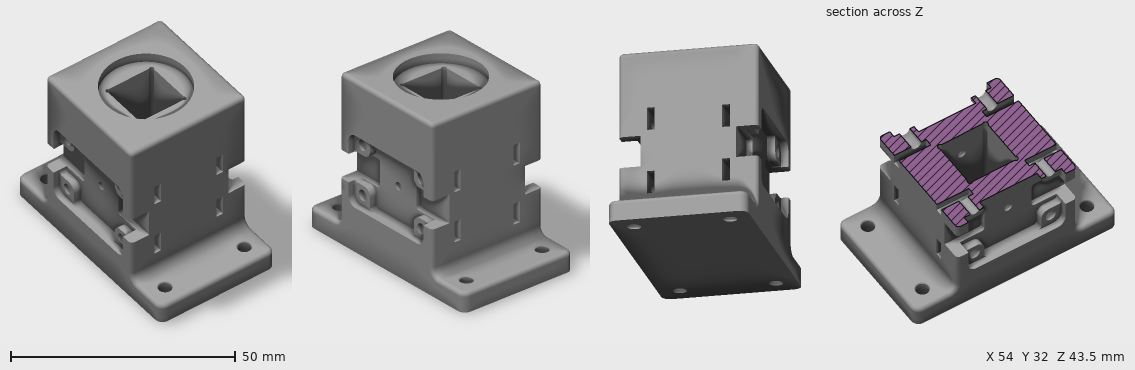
import cadquery as cq
base_length = 54.0
width = 32.0
height = 43.5
base_height = 4.95
tower_length = width
base_corner_radius = 2.0
root_radius = base_corner_radius
edge_radius = base_corner_radius / 2

mount_pitch_x = 44.0
mount_pitch_y = 22.05
mount_diameter = 3.2
mount_countersink_diameter = 3.55
mount_countersink_depth = 0.2

recess_diameter = 21.5
recess_depth = 2.5
well_side = 12.75
well_floor = base_height
relief_diameter = 1.2
relief_inset = 0.3

front_center_z = 20.0
back_center_z = 20.4
pocket_depth = 3.6
pocket_corner_radius = 2.15
boss_depth = 1.75
boss_corner_radius = base_corner_radius
boss_root_radius = 0.75
screw_diameter = 2.7
screw_pitch_x = 20.3
front_screw_pitch_z = 15.0
back_screw_pitch_z = 12.75
screw_edge_margin = 2.8
screw_inner_margin = 2.55

notch_height = 7.25
notch_depth = 5.0
notch_gap = 12.65
notch_corner_radius = 0.75

slot_height = 5.25
slot_inner_y = 7.7
slot_outer_y = 9.5
slot_length = (tower_length - screw_pitch_x + slot_height) / 2

beam_diameter = 2.0

selection_margin = 0.55


def make_body():
    """Tower on a base plate, with blended roots and rounded edges."""
    profile = (
        cq.Workplane("XZ")
        .moveTo(-base_length / 2, 0)
        .lineTo(base_length / 2, 0)
        .lineTo(base_length / 2, base_height)
        .lineTo(tower_length / 2 + root_radius, base_height)
        .radiusArc((tower_length / 2, base_height + root_radius), root_radius)
        .lineTo(tower_length / 2, height)
        .lineTo(-tower_length / 2, height)
        .lineTo(-tower_length / 2, base_height + root_radius)
        .radiusArc((-tower_length / 2 - root_radius, base_height), root_radius)
        .lineTo(-base_length / 2, base_height)
        .close()
    )
    body = profile.extrude(width / 2, both=True)
    body = body.faces("<X or >X").edges("|Z").fillet(base_corner_radius)
    tower_rim = body.faces(">Z").edges()
    base_ends = body.faces("<X or >X").edges(">Z")
    wall_outline = body.faces("<Y or >Y").edges("not <Z")
    exposed_edges = tower_rim.vals() + base_ends.vals() + wall_outline.vals()
    return body.newObject(exposed_edges).fillet(edge_radius)


def box_between(x_range, y_range, z_range):
    """Axis-aligned box spanning three (low, high) ranges."""
    spans = [high - low for low, high in (x_range, y_range, z_range)]
    corner = (x_range[0], y_range[0], z_range[0])
    return cq.Workplane("XY").box(*spans, centered=False).translate(corner)


def make_well():
    """Round recess and square well with relieved corners."""
    recess = cq.Workplane("XY").workplane(offset=height - recess_depth)
    recess = recess.circle(recess_diameter / 2).extrude(recess_depth)
    well_depth = height - well_floor
    relief_pitch = well_side - 2 * relief_inset
    floor = cq.Workplane("XY").workplane(offset=well_floor)
    well = floor.rect(well_side, well_side).extrude(well_depth)
    reliefs = (
        floor.rect(relief_pitch, relief_pitch, forConstruction=True)
        .vertices()
        .circle(relief_diameter / 2)
        .extrude(well_depth)
    )
    return recess.union(well).union(reliefs)


def make_wall_pocket(center_z, screw_pitch_z):
    """Cutter for the -Y wall: pocket with corner bosses, notches, screw holes and nut slots."""
    wall_y = -width / 2
    half_length = screw_pitch_x / 2 + screw_edge_margin
    half_height = screw_pitch_z / 2 + screw_edge_margin
    inner_x = screw_pitch_x / 2 - screw_inner_margin
    inner_z = screw_pitch_z / 2 - screw_inner_margin

    def wall_prism(sketch, depth):
        plane = cq.Workplane("XZ", origin=(0, wall_y, center_z))
        return sketch(plane).extrude(-depth)

    def rounded_block(length, block_height, depth, radius):
        block = wall_prism(lambda plane: plane.rect(length, block_height), depth)
        return block.edges("|Y").fillet(radius)

    outline = rounded_block(2 * half_length, 2 * half_height, boss_depth, pocket_corner_radius)

    wide_arm = rounded_block(2 * half_length, 2 * inner_z, pocket_depth, boss_root_radius)
    tall_arm = rounded_block(2 * inner_x, 2 * half_height, pocket_depth, boss_root_radius)
    boss_corners = cq.selectors.BoxSelector(
        (-inner_x - selection_margin, -width, center_z - inner_z - selection_margin),
        (inner_x + selection_margin, 0, center_z + inner_z + selection_margin),
    )
    floor = wide_arm.union(tall_arm).edges("|Y").edges(boss_corners).fillet(boss_corner_radius)
    cutter = outline.union(floor)

    notch_z = (center_z - notch_height / 2, center_z + notch_height / 2)
    notch_y = (wall_y, wall_y + notch_depth)
    left_notch = box_between((-base_length / 2, -notch_gap / 2), notch_y, notch_z)
    left_notch = left_notch.edges("|Y and >X").fillet(notch_corner_radius)
    cutter = cutter.union(left_notch).union(left_notch.mirror("YZ"))

    screws = wall_prism(
        lambda plane: plane.rect(screw_pitch_x, screw_pitch_z, forConstruction=True)
        .vertices()
        .circle(screw_diameter / 2),
        width / 2 - slot_inner_y,
    )
    cutter = cutter.union(screws)

    slot_x = (-tower_length / 2, -tower_length / 2 + slot_length)
    for side in (-1, 1):
        slot_z = center_z + side * screw_pitch_z / 2
        slot = box_between(
            slot_x,
            (-slot_outer_y, -slot_inner_y),
            (slot_z - slot_height / 2, slot_z + slot_height / 2),
        )
        cutter = cutter.union(slot).union(slot.mirror("YZ"))
    return cutter


def make_mount_holes():
    """Countersunk through holes in the four corners of the base."""
    profile = cq.Workplane("XZ").polyline([
        (0, 0),
        (mount_diameter / 2, 0),
        (mount_diameter / 2, base_height - mount_countersink_depth),
        (mount_countersink_diameter / 2, base_height),
        (0, base_height),
    ]).close()
    hole = profile.revolve(360, (0, 0), (0, 1)).val()
    corners = cq.Workplane("XY").rect(mount_pitch_x, mount_pitch_y, forConstruction=True).vertices()
    return corners.eachpoint(lambda place: hole.moved(place))


def make_beam_hole():
    """Round hole through both walls, centred on the front pocket."""
    plane = cq.Workplane("XZ", origin=(0, 0, front_center_z))
    return plane.circle(beam_diameter / 2).extrude(width / 2, both=True)


result = (
    make_body()
    .cut(make_well())
    .cut(make_wall_pocket(front_center_z, front_screw_pitch_z))
    .cut(make_wall_pocket(back_center_z, back_screw_pitch_z).mirror("XZ"))
    .cut(make_mount_holes())
    .cut(make_beam_hole())
)